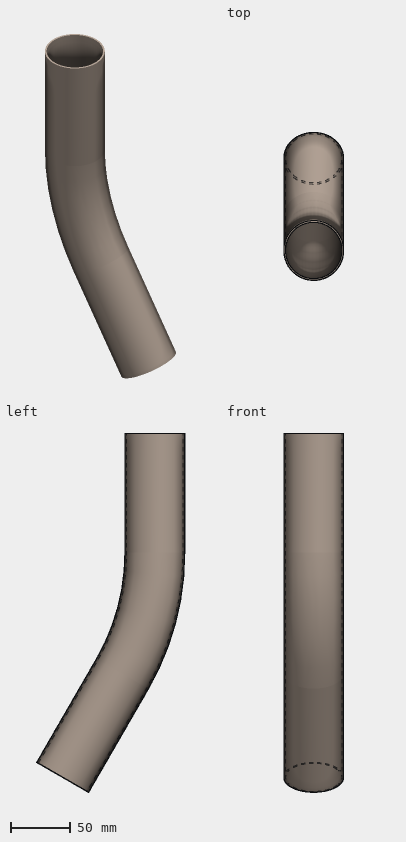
import cadquery as cq
import math

overall_height = 304.0
outer_diameter = 50.7
inner_diameter = 47.7
leg_length = 101.2
bend_angle = 30.0

angle = math.radians(bend_angle)
legs_height = leg_length * (1 + math.cos(angle))
tilted_rim_drop = outer_diameter / 2 * math.sin(angle)
bend_radius = (overall_height - legs_height - tilted_rim_drop) / math.sin(angle)


def bend_point(turn):
    """Centreline (Y, Z) after turning by an angle; the bend starts at the origin."""
    return bend_radius * (1 - math.cos(turn)), -bend_radius * math.sin(turn)


bend_end_y, bend_end_z = bend_point(angle)
lower_end = (
    bend_end_y + leg_length * math.sin(angle),
    bend_end_z - leg_length * math.cos(angle),
)
centreline = (
    cq.Workplane("YZ")
    .moveTo(0, leg_length)
    .lineTo(0, 0)
    .threePointArc(bend_point(angle / 2), (bend_end_y, bend_end_z))
    .lineTo(*lower_end)
)

result = (
    cq.Workplane("XY", origin=(0, 0, leg_length))
    .circle(outer_diameter / 2)
    .circle(inner_diameter / 2)
    .sweep(centreline)
)